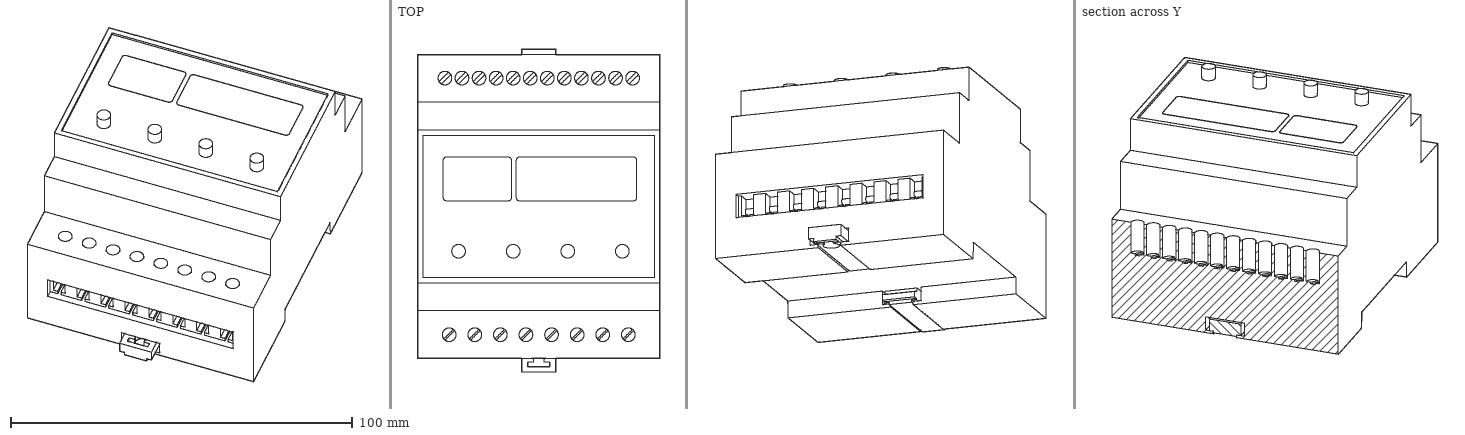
import cadquery as cq

WIDTH = 71.0
HALF_WIDTH = WIDTH / 2
OVERALL_HEIGHT = 60.79

LOWER_HALF_DEPTH = 44.5
LOWER_TOP = 32.0
MIDDLE_HALF_DEPTH = 30.57
MIDDLE_TOP = 47.5
UPPER_HALF_DEPTH = 22.4
UPPER_TOP = 57.75

RAIL_BACK_Y = 18.2
RAIL_FRONT_Y = -18.55
RAIL_ROOF = 5.1
RAIL_WALL_DRAFT = 0.2

CHANNEL_HALF_WIDTH = 6.0
CHANNEL_LIP_TOP = 1.0
CHANNEL_THROAT_HALF_WIDTH = 3.5

PANEL_BORDER = 1.6
PANEL_DEPTH = 0.7
PANEL_FLOOR = UPPER_TOP - PANEL_DEPTH
DISPLAY_DEPTH = 0.1
DISPLAY_Y_RANGE = (1.6, 14.5)
DISPLAY_X_RANGES = ((-28.0, -8.0), (-6.6, 28.7))
DISPLAY_CORNER_RADIUS = 1.0
BUTTON_COUNT = 4
BUTTON_PITCH = 16.0
BUTTON_DIAMETER = 4.0
BUTTON_ROW_CENTER_X = 0.5
BUTTON_ROW_Y = -13.15

SCREW_ROW_Y = 37.6
SCREW_HEAD_Z = 22.0
SCREW_SLOT_DEPTH = 0.5
SCREW_DIAMETER = 4.0
SCREW_SLOT_ANGLE = 45.0
BACK_SCREW_COUNT = 12
BACK_SCREW_PITCH = 5.0
BACK_SLOT_WIDTH = 1.0
FRONT_SCREW_COUNT = 8
FRONT_SCREW_PITCH = 7.5
FRONT_SLOT_WIDTH = 0.5

ENTRY_HALF_WIDTH = 29.1
ENTRY_BOTTOM = 11.9
ENTRY_TOP = 19.0
ENTRY_DEPTH = 2.0
CELL_WIDTH = 3.75
CELL_BOTTOM = 12.95
CELL_DEPTH = 4.0
CELL_NOTCH_WIDTH = 1.0
WIRE_SEAT_RADIUS = 1.65
WIRE_SEAT_Z = 14.95
WIRE_SEAT_TOP = 15.65
WIRE_SEAT_LENGTH = 1.3

HOOK_HALF_WIDTH = 5.0
HOOK_FOOT_HALF_WIDTH = CHANNEL_THROAT_HALF_WIDTH
FRONT_HOOK_END_Y = -48.58
FRONT_FOOT_BOTTOM = 0.67
FRONT_FOOT_TOP = 1.65
OVERALL_DEPTH = 94.7
BACK_HOOK_END_Y = FRONT_HOOK_END_Y + OVERALL_DEPTH
BACK_HOOK_TOP = 4.75
BACK_FOOT_BOTTOM = 0.34
BACK_FOOT_TOP = CHANNEL_LIP_TOP

LOOP_HALF_WIDTH = 3.2
LOOP_OUTER_Y = -46.95
LOOP_INNER_Y = -45.6
LOOP_NECK_HALF_WIDTH = 1.5
LOOP_EYE_RADIUS = 2.4
LOOP_EYE_Y = -42.95


def box(x_range, y_range, z_range):
    """Axis-aligned block given by its limits along each axis."""
    limits = (x_range, y_range, z_range)
    size = [high - low for low, high in limits]
    corner = cq.Vector(*[low for low, high in limits])
    return cq.Workplane(cq.Solid.makeBox(*size, corner))


def side_extrusion(points, half_width):
    """Outline in the YZ plane extruded equally to both sides of X = 0."""
    return cq.Workplane("YZ").polyline(points).close().extrude(half_width, both=True)


def row(count, pitch, center=0.0):
    """Evenly spaced positions about a center."""
    return [center + (i - (count - 1) / 2) * pitch for i in range(count)]


def centered(half_width):
    return (-half_width, half_width)


def stepped_block():
    back_steps = [
        (LOWER_HALF_DEPTH, 0),
        (LOWER_HALF_DEPTH, LOWER_TOP),
        (MIDDLE_HALF_DEPTH, LOWER_TOP),
        (MIDDLE_HALF_DEPTH, MIDDLE_TOP),
        (UPPER_HALF_DEPTH, MIDDLE_TOP),
        (UPPER_HALF_DEPTH, UPPER_TOP),
    ]
    front_steps = [(-y, z) for y, z in reversed(back_steps)]
    return side_extrusion(back_steps + front_steps, HALF_WIDTH)


def rail_recess():
    outline = [
        (RAIL_FRONT_Y - RAIL_WALL_DRAFT, 0),
        (RAIL_FRONT_Y, RAIL_ROOF),
        (RAIL_BACK_Y, RAIL_ROOF),
        (RAIL_BACK_Y + RAIL_WALL_DRAFT, 0),
    ]
    return side_extrusion(outline, HALF_WIDTH)


def hook_channel():
    """T-shaped channel running the full depth of the housing."""
    y_range = centered(LOWER_HALF_DEPTH)
    wide = box(centered(CHANNEL_HALF_WIDTH), y_range, (CHANNEL_LIP_TOP, RAIL_ROOF))
    throat = box(centered(CHANNEL_THROAT_HALF_WIDTH), y_range, (0, CHANNEL_LIP_TOP))
    return wide.union(throat)


def panel_recess():
    return box(
        centered(HALF_WIDTH - PANEL_BORDER),
        centered(UPPER_HALF_DEPTH - PANEL_BORDER),
        (PANEL_FLOOR, UPPER_TOP),
    )


def display_window(x_range):
    z_range = (PANEL_FLOOR - DISPLAY_DEPTH, PANEL_FLOOR)
    return box(x_range, DISPLAY_Y_RANGE, z_range).edges("|Z").fillet(DISPLAY_CORNER_RADIUS)


def buttons():
    centers = [(x, BUTTON_ROW_Y) for x in row(BUTTON_COUNT, BUTTON_PITCH, BUTTON_ROW_CENTER_X)]
    return (
        cq.Workplane("XY", origin=(0, 0, PANEL_FLOOR))
        .pushPoints(centers)
        .circle(BUTTON_DIAMETER / 2)
        .extrude(OVERALL_HEIGHT - PANEL_FLOOR)
    )


def screw_hole(x, y, slot_width):
    """Access hole ending on a screw head that has a diagonal driver slot."""
    hole = (
        cq.Workplane("XY", origin=(x, y, SCREW_HEAD_Z))
        .circle(SCREW_DIAMETER / 2)
        .extrude(LOWER_TOP - SCREW_HEAD_Z)
    )
    slot_bottom = cq.Workplane("XY", origin=(x, y, SCREW_HEAD_Z - SCREW_SLOT_DEPTH))
    slot_bar = (
        slot_bottom.transformed(rotate=(0, 0, SCREW_SLOT_ANGLE))
        .rect(SCREW_DIAMETER, slot_width)
        .extrude(SCREW_SLOT_DEPTH)
    )
    slot = slot_bottom.circle(SCREW_DIAMETER / 2).extrude(SCREW_SLOT_DEPTH).intersect(slot_bar)
    return hole.union(slot)


def wire_entry():
    """Wide front pocket that all the wire cells open into."""
    return box(
        centered(ENTRY_HALF_WIDTH),
        (-LOWER_HALF_DEPTH, -LOWER_HALF_DEPTH + ENTRY_DEPTH),
        (ENTRY_BOTTOM, ENTRY_TOP),
    )


def wire_cell(x):
    """Cell behind the entry pocket, with a flat-topped round wire seat on its back wall."""
    entry_back = -LOWER_HALF_DEPTH + ENTRY_DEPTH
    cell_back = entry_back + CELL_DEPTH
    cell_x = (x - CELL_WIDTH / 2, x + CELL_WIDTH / 2)
    notch_x = (x - CELL_NOTCH_WIDTH / 2, x + CELL_NOTCH_WIDTH / 2)
    cell = box(cell_x, (entry_back, cell_back), (CELL_BOTTOM, ENTRY_TOP))
    notch = box(notch_x, (entry_back, cell_back), (ENTRY_BOTTOM, CELL_BOTTOM))
    seat_y = (cell_back - WIRE_SEAT_LENGTH, cell_back)
    seat_limit = box(cell_x, seat_y, (CELL_BOTTOM, WIRE_SEAT_TOP))
    seat = (
        cq.Workplane("XZ", origin=(x, cell_back, WIRE_SEAT_Z))
        .circle(WIRE_SEAT_RADIUS)
        .extrude(WIRE_SEAT_LENGTH)
        .intersect(seat_limit)
    )
    return cell.union(notch).cut(seat)


def trim_to_foot(hook, foot_top):
    """Narrow the bottom of a hook so that it passes through the channel throat."""
    bounds = hook.val().BoundingBox()
    y_range = (bounds.ymin, bounds.ymax)
    for side in (-1, 1):
        x_range = sorted((side * HOOK_FOOT_HALF_WIDTH, side * HOOK_HALF_WIDTH))
        hook = hook.cut(box(x_range, y_range, (0, foot_top)))
    return hook


def front_hook():
    """Hook hanging from the channel roof, with a beveled nose and a pull loop open at top and bottom."""
    heel_y = -17.4
    nose_y = -15.7
    nose_top = 4.07
    outline = [
        (FRONT_HOOK_END_Y, FRONT_FOOT_BOTTOM),
        (heel_y, FRONT_FOOT_BOTTOM),
        (heel_y, FRONT_FOOT_TOP),
        (nose_y, nose_top),
        (heel_y, nose_top),
        (heel_y, RAIL_ROOF),
        (FRONT_HOOK_END_Y, RAIL_ROOF),
    ]
    hook = trim_to_foot(side_extrusion(outline, HOOK_HALF_WIDTH), FRONT_FOOT_TOP)
    z_range = (0, RAIL_ROOF)
    window = box(centered(LOOP_HALF_WIDTH), (LOOP_OUTER_Y, LOOP_INNER_Y), z_range)
    neck = box(centered(LOOP_NECK_HALF_WIDTH), (LOOP_INNER_Y, LOOP_EYE_Y), z_range)
    eye = cq.Workplane("XY", origin=(0, LOOP_EYE_Y, 0)).circle(LOOP_EYE_RADIUS).extrude(RAIL_ROOF)
    return hook.cut(window).cut(neck).cut(eye)


def build_housing():
    housing = stepped_block().cut(rail_recess()).cut(hook_channel()).cut(panel_recess())
    for x_range in DISPLAY_X_RANGES:
        housing = housing.cut(display_window(x_range))
    for x in row(BACK_SCREW_COUNT, BACK_SCREW_PITCH):
        housing = housing.cut(screw_hole(x, SCREW_ROW_Y, BACK_SLOT_WIDTH))
    housing = housing.cut(wire_entry())
    for x in row(FRONT_SCREW_COUNT, FRONT_SCREW_PITCH):
        housing = housing.cut(screw_hole(x, -SCREW_ROW_Y, FRONT_SLOT_WIDTH))
        housing = housing.cut(wire_cell(x))
    return housing.union(buttons()).union(front_hook())


def build_back_latch():
    """Separate latch resting on the lips of the back channel, clear of its roof."""
    heel_y = 17.6
    foot_y = 16.95
    nose_y = 15.25
    nose_bottom = 1.35
    nose_top = 3.05
    seat_z = 3.75
    outline = [
        (BACK_HOOK_END_Y, BACK_FOOT_BOTTOM),
        (foot_y, BACK_FOOT_BOTTOM),
        (foot_y, nose_bottom),
        (nose_y, nose_bottom),
        (nose_y, nose_top),
        (heel_y, seat_z),
        (heel_y, BACK_HOOK_TOP),
        (BACK_HOOK_END_Y, BACK_HOOK_TOP),
    ]
    return trim_to_foot(side_extrusion(outline, HOOK_HALF_WIDTH), BACK_FOOT_TOP)


housing = build_housing()
back_latch = build_back_latch()
result = cq.Compound.makeCompound([housing.val(), back_latch.val()])